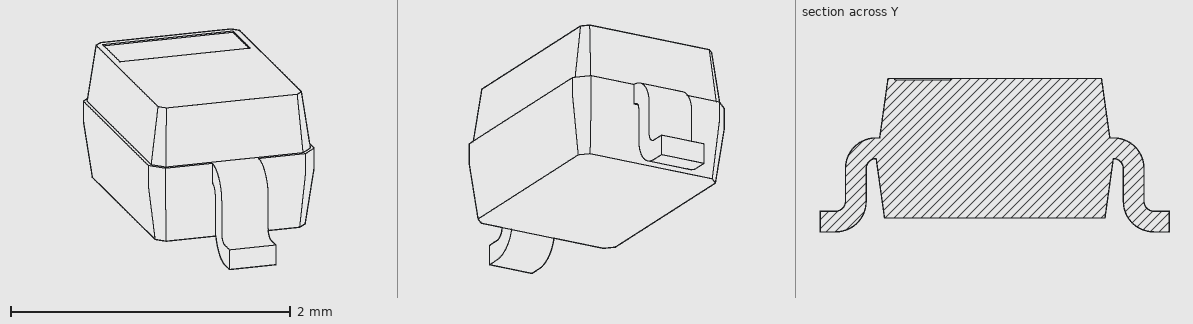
import cadquery as cq
import math

overall_length = 2.5
body_top_z = 1.1
body_bottom_z = 0.1

belt_length = 1.7
belt_width = 1.25
belt_corner = 0.0975
belt_height = 0.15
belt_ledge = 0.025
draft_angle = 8

lead_thickness = belt_height
lead_width = 0.35
inner_bend_radius = 0.07

bar_length = 0.4
bar_margin = 0.05
bar_depth = 0.01

belt_bottom_z = (body_top_z + body_bottom_z - belt_height) / 2
belt_top_z = belt_bottom_z + belt_height
upper_height = body_top_z - belt_top_z
lower_height = belt_bottom_z - body_bottom_z
outer_bend_radius = inner_bend_radius + lead_thickness


def chamfered_plate(z, inset):
    """Sketch the belt outline at height z, moved inward by inset on all eight sides."""
    half_x = belt_length / 2 - inset
    half_y = belt_width / 2 - inset
    corner = belt_corner - inset * (2 - math.sqrt(2))
    points = [
        (half_x, half_y - corner),
        (half_x - corner, half_y),
        (corner - half_x, half_y),
        (-half_x, half_y - corner),
        (-half_x, corner - half_y),
        (corner - half_x, -half_y),
        (half_x - corner, -half_y),
        (half_x, corner - half_y),
    ]
    return cq.Workplane("XY", origin=(0, 0, z)).polyline(points).close()


def make_body():
    belt = chamfered_plate(belt_bottom_z, 0).extrude(belt_height)
    upper = chamfered_plate(belt_top_z, belt_ledge).extrude(upper_height, taper=draft_angle)
    lower = chamfered_plate(belt_bottom_z, 0).extrude(-lower_height, taper=draft_angle)
    return belt.union(upper).union(lower)


def bend_middle(center, radius, direction):
    """Middle of a quarter bend, on the (+X, +Z) side for direction 1 or (-X, -Z) for -1."""
    offset = direction * radius * math.sqrt(0.5)
    return (center[0] + offset, center[1] + offset)


def make_lead():
    """Lead on the +X side: leaves the belt, bends down, then bends out to a flat foot."""
    body_x = belt_length / 2
    tip_x = overall_length / 2
    shank_inner_x = body_x + inner_bend_radius
    shank_outer_x = body_x + outer_bend_radius
    foot_x = shank_outer_x + inner_bend_radius
    upper_bend_z = belt_top_z - outer_bend_radius
    lower_bend_z = outer_bend_radius
    upper_center = (body_x, upper_bend_z)
    lower_center = (foot_x, lower_bend_z)
    upper_outer_mid = bend_middle(upper_center, outer_bend_radius, 1)
    upper_inner_mid = bend_middle(upper_center, inner_bend_radius, 1)
    lower_outer_mid = bend_middle(lower_center, outer_bend_radius, -1)
    lower_inner_mid = bend_middle(lower_center, inner_bend_radius, -1)
    return (
        cq.Workplane("XZ")
        .moveTo(body_x, belt_top_z)
        .threePointArc(upper_outer_mid, (shank_outer_x, upper_bend_z))
        .lineTo(shank_outer_x, lower_bend_z)
        .threePointArc(lower_inner_mid, (foot_x, lead_thickness))
        .lineTo(tip_x, lead_thickness)
        .lineTo(tip_x, 0)
        .lineTo(foot_x, 0)
        .threePointArc(lower_outer_mid, (shank_inner_x, lower_bend_z))
        .lineTo(shank_inner_x, upper_bend_z)
        .threePointArc(upper_inner_mid, (body_x, belt_bottom_z))
        .close()
        .extrude(lead_width / 2, both=True)
    )


def make_polarity_bar():
    """Shallow block for the recess beside the -X edge of the top face."""
    top_inset = belt_ledge + upper_height * math.tan(math.radians(draft_angle))
    bar_start_x = top_inset + bar_margin - belt_length / 2
    bar_width = belt_width - 2 * (top_inset + bar_margin)
    return (
        cq.Workplane("XY", origin=(bar_start_x + bar_length / 2, 0, body_top_z - bar_depth))
        .rect(bar_length, bar_width)
        .extrude(bar_depth)
    )


right_lead = make_lead()
left_lead = right_lead.mirror("YZ")
result = make_body().union(right_lead).union(left_lead).cut(make_polarity_bar())